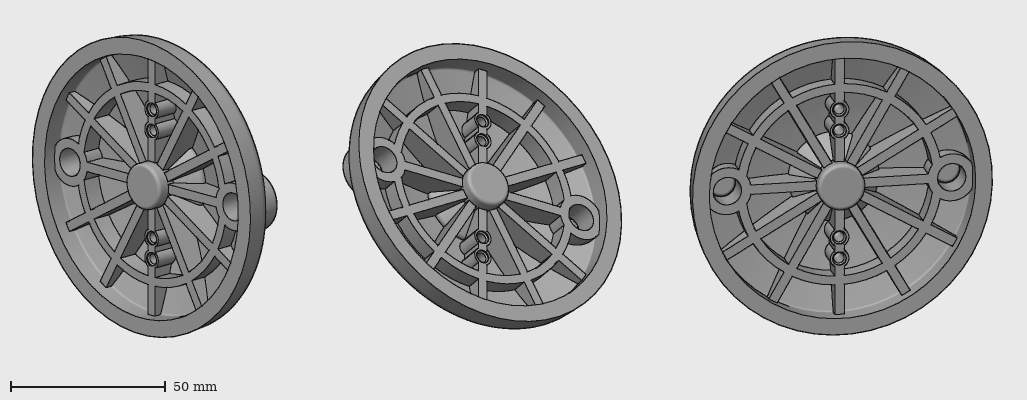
import cadquery as cq
import math


rim_radius = 49.5
wall_top_radius = 48.8
crown_height = 18.0
dome_apex = 18.7
dome_radius = 123.75
edge_fillet = 4.0
shell_thickness = 3.3
cavity_radius = 44.0
cavity_fillet = 0.8

rib_level = 4.7
rib_count = 12
rib_width = 3.2
ring_inner_radius = 31.0
ring_outer_radius = 34.0

hub_level = 0.5
hub_radius = 7.7
hub_fillet = 1.2
foot_radius = 14.9
foot_step = 1.4
foot_rise = 7.4
foot_fillet = 1.1

screw_offsets = (18.0, 25.1)
screw_boss_radius = 3.1
screw_hole_radius = 1.73
screw_hole_depth = 7.9
screw_hole_fillet = 1.1
screw_chamfer = 0.5

socket_offset = 37.0
pad_radius = 7.9
socket_radius = 4.7
socket_floor = 13.9
button_radius = 4.5
button_height = 1.4
button_fillet = 1.3

lug_center = 36.6
lug_radius = 9.9
lug_inner_end = 14.85
lug_taper = 5.5
lug_top = 16.4
lug_fillet = 2.0

dome_center = dome_apex - dome_radius
inner_dome_radius = dome_radius - shell_thickness


def sphere_level(radius, distance):
    """Y of a sphere about the dome centre, at a distance from the axis."""
    return dome_center + math.sqrt(radius**2 - distance**2)


foot_level = sphere_level(inner_dome_radius, foot_radius)


def domed_plug(bottom_radius, top_radius, sphere_radius, fillet):
    """Round plug from Y = 0 up to a spherical top with a rounded edge."""
    half = top_radius / 2
    edge_level = sphere_level(sphere_radius, top_radius)
    return (
        cq.Workplane("YZ")
        .lineTo(0, bottom_radius)
        .lineTo(edge_level, top_radius)
        .threePointArc((sphere_level(sphere_radius, half), half), (dome_center + sphere_radius, 0))
        .close()
        .revolve(360, (0, 0, 0), (1, 0, 0))
        .edges(cq.selectors.NearestToPointSelector((0, edge_level, 0)))
        .fillet(fillet)
    )


def cylinder(radius, start, end, x=0.0, z=0.0):
    """Cylinder parallel to Y between two levels."""
    return cq.Workplane("XZ", origin=(x, start, z)).circle(radius).extrude(start - end)


def lug(side):
    """Lug with a round outer end and two straight flanks that spread towards the axis."""
    angle = math.radians(lug_taper)
    tangent_x = lug_center + lug_radius * math.sin(angle)
    tangent_z = lug_radius * math.cos(angle)
    inner_z = tangent_z + (tangent_x - lug_inner_end) * math.tan(angle)
    outline = (
        cq.Workplane("XZ")
        .moveTo(side * lug_inner_end, -inner_z)
        .lineTo(side * tangent_x, -tangent_z)
        .threePointArc((side * (lug_center + lug_radius), 0), (side * tangent_x, tangent_z))
        .lineTo(side * lug_inner_end, inner_z)
        .close()
    )
    return outline.extrude(-lug_top).faces(">Y").edges().fillet(lug_fillet)


def ribs():
    """Radial ribs and the ring that ties them together."""
    ring = cylinder(ring_outer_radius, rib_level, crown_height).cut(
        cylinder(ring_inner_radius, rib_level, crown_height)
    )
    for index in range(rib_count // 2):
        bar = cq.Workplane("XY").box(2 * cavity_radius, crown_height - rib_level, rib_width)
        bar = bar.translate((0, (crown_height + rib_level) / 2, 0))
        ring = ring.union(bar.rotate((0, 0, 0), (0, 1, 0), index * 360 / rib_count))
    return ring


def hub():
    """Rounded hub and the stepped cone that carries it."""
    post = cylinder(hub_radius, hub_level, dome_apex).faces("<Y").edges().fillet(hub_fillet)
    cone = (
        cq.Workplane("XY")
        .moveTo(0, foot_level - foot_rise)
        .lineTo(hub_radius, foot_level - foot_rise)
        .lineTo(foot_radius, foot_level - foot_step)
        .lineTo(foot_radius, dome_apex)
        .lineTo(0, dome_apex)
        .close()
        .revolve(360, (0, 0, 0), (0, 1, 0))
    )
    return post.union(cone)


def screw_hole(z):
    """Blind pilot hole with a rounded bottom and a chamfered mouth."""
    hole = cylinder(screw_hole_radius, rib_level, rib_level + screw_hole_depth, z=z)
    hole = hole.faces(">Y").edges().fillet(screw_hole_fillet)
    mouth = cylinder(screw_hole_radius + screw_chamfer, rib_level, rib_level + 2 * screw_chamfer, z=z)
    mouth = mouth.faces(">Y").edges().chamfer(screw_chamfer)
    return hole.union(mouth)


def socket(x):
    """Blind socket with a rounded button on its floor."""
    button = cylinder(button_radius, socket_floor - button_height, socket_floor, x=x)
    button = button.faces("<Y").edges().fillet(button_fillet)
    return cylinder(socket_radius, rib_level, socket_floor, x=x).cut(button)


body = domed_plug(rim_radius, wall_top_radius, dome_radius, edge_fillet)
body = body.intersect(cylinder(rim_radius, 0, crown_height))
for side in (-1, 1):
    body = body.union(lug(side))

cavity = domed_plug(cavity_radius, cavity_radius, inner_dome_radius, cavity_fillet)
cavity = cavity.cut(hub())
cavity = cavity.edges(cq.selectors.NearestToPointSelector((0, foot_level, 0))).fillet(foot_fillet)

inside = ribs()
for side in (-1, 1):
    inside = inside.union(cylinder(pad_radius, rib_level, crown_height, x=side * socket_offset))
    for offset in screw_offsets:
        inside = inside.union(cylinder(screw_boss_radius, rib_level, crown_height, z=side * offset))

result = body.cut(cavity.cut(inside))
for side in (-1, 1):
    result = result.cut(socket(side * socket_offset))
    for offset in screw_offsets:
        result = result.cut(screw_hole(side * offset))